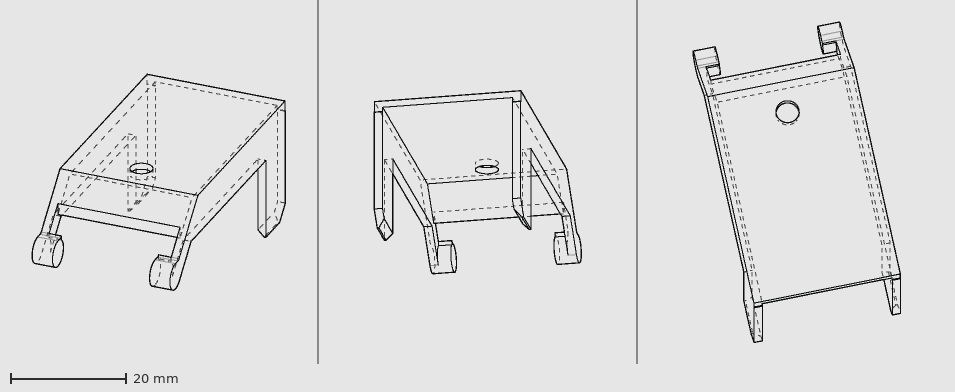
import cadquery as cq
import math

width = 26.0
length = 51.5
height = 22.6

wall = 1.5
roof_thickness = 1.2
slope_thickness = 1.5

slope_top_y = 12.45
slope_end_y = 8.05
wall_bottom_z = 15.05
leg_depth = 8.75
leg_corner_chamfer = 2.6
leg_tip_chamfer = 1.2
back_step = 0.15
back_step_height = 2.0

pin_radius = 2.45
pin_length = 3.85
pin_y = pin_radius
pin_z = 11.55
neck_fillet = 0.7

hole_diameter = 4.0
hole_y = 18.0

sin45 = math.sqrt(0.5)
leg_front_y = length - leg_depth
roof_back_y = length - back_step
pin_top_z = pin_z + pin_radius

corner_y = slope_top_y - (height - pin_top_z)
fillet_flat_y = corner_y - neck_fillet * math.tan(math.pi / 8)
fillet_start = (fillet_flat_y + neck_fillet * sin45, pin_top_z + neck_fillet * (1 - sin45))
fillet_middle = (
    fillet_flat_y + neck_fillet * math.sin(math.pi / 8),
    pin_top_z + neck_fillet * (1 - math.cos(math.pi / 8)),
)
fillet_end = (fillet_flat_y, pin_top_z)

tangent = (pin_y + pin_radius * sin45, pin_z - pin_radius * sin45)
pin_front = (pin_y - pin_radius, pin_z)
arm_root_y = tangent[0] + wall_bottom_z - tangent[1]


def side_plane(x):
    """YZ sketch plane at the given X."""
    return cq.Workplane("YZ", origin=(x, 0, 0))


def left_wall():
    """Side wall with its leg and hinge arm."""
    profile = (
        side_plane(-width / 2)
        .moveTo(roof_back_y, height)
        .lineTo(slope_top_y, height)
        .lineTo(*fillet_start)
        .threePointArc(fillet_middle, fillet_end)
        .lineTo(pin_y, pin_top_z)
        .threePointArc(pin_front, tangent)
        .lineTo(arm_root_y, wall_bottom_z)
        .lineTo(leg_front_y, wall_bottom_z)
        .lineTo(leg_front_y, 0)
        .lineTo(length - leg_corner_chamfer, 0)
        .lineTo(length, leg_corner_chamfer)
        .lineTo(length, height - back_step_height)
        .lineTo(roof_back_y, height - back_step_height)
        .close()
        .extrude(wall)
    )
    inner_x = wall - width / 2
    bevel = (
        cq.Workplane("XZ", origin=(0, length, 0))
        .polyline([(inner_x, 0), (inner_x, leg_tip_chamfer), (inner_x - leg_tip_chamfer, 0)])
        .close()
        .extrude(leg_depth)
    )
    return profile.cut(bevel)


def left_pin():
    """Hinge pin with the short ridge left by the neck fillet."""
    pin = side_plane(-width / 2).center(pin_y, pin_z).circle(pin_radius).extrude(pin_length)
    ridge = (
        side_plane(-width / 2)
        .moveTo(pin_y, pin_z)
        .lineTo(pin_y, pin_top_z)
        .lineTo(*fillet_end)
        .threePointArc(fillet_middle, fillet_start)
        .lineTo(fillet_start[0], pin_z)
        .close()
        .extrude(pin_length)
    )
    return pin.union(ridge)


def roof():
    """Flat roof and sloped front panel, with the screw hole."""
    slope_drop = slope_top_y - slope_end_y
    slope_vertical = slope_thickness / sin45
    under_z = height - roof_thickness
    bend_y = slope_top_y + slope_vertical - roof_thickness
    panel = (
        side_plane(-width / 2)
        .polyline([
            (roof_back_y, height),
            (slope_top_y, height),
            (slope_end_y, height - slope_drop),
            (slope_end_y, height - slope_drop - slope_vertical),
            (bend_y, under_z),
            (roof_back_y, under_z),
        ])
        .close()
        .extrude(width)
    )
    hole = (
        cq.Workplane("XY", origin=(0, hole_y, under_z))
        .circle(hole_diameter / 2)
        .extrude(roof_thickness)
    )
    return panel.cut(hole)


left_side = left_wall().union(left_pin())
right_side = left_side.mirror("YZ")
result = roof().union(left_side).union(right_side)